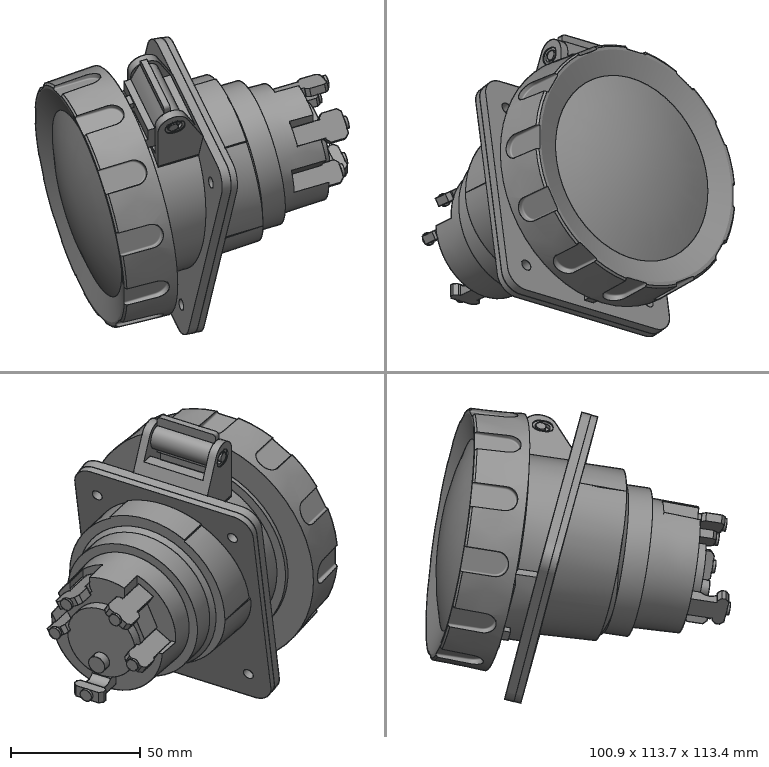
import cadquery as cq
import math


CAP_FRONT_Y = 3.4
CAP_REAR_Y = 24.8
COLLAR_REAR_Y = 26.7
DRUM_REAR_Y = 66.2
CONE_REAR_Y = 68.1
NECK_REAR_Y = 77.6
WINDOW_Y = 87.4
INSULATOR_REAR_Y = 97.3

CAP_REAR_R = 50.44
CAP_FRONT_R = 49.4
CAP_EDGE = 0.8
RIM_R = 47.2
DOME_EDGE_R = 37.7
DOME_SPHERE_R = 114.0
DOME_SAG = DOME_SPHERE_R - math.sqrt(DOME_SPHERE_R**2 - DOME_EDGE_R**2)
GRIP_COUNT = 12
GRIP_WIDTH = 9.9
GRIP_DEPTH = 1.6
GRIP_EDGE_R = 0.6
GRIP_END_Y = 21.4

COLLAR_R = 39.0
COLLAR_TOP_Z = 37.0
FRONT_BODY_R = 35.2
DRUM_R = 34.8
DRUM_BOTTOM = 29.1
DRUM_DRAFT = 2.0
CROWN_R = 35.4
NECK_R = 29.1
CONE_R = 30.8
INSULATOR_FRONT_R = 25.4
INSULATOR_REAR_R = 24.8
CORE_R = 15.2
CORE_Z = -1.6
CORE_REAR_Y = 101.5
PIN_BOSS_R = 3.6
PIN_BOSS_Z = -9.9
PIN_BOSS_REAR_Y = 105.3

FLANGE_TILT = 10.0
FLANGE_WIDTH = 80.2
FLANGE_LENGTH = 93.96
FLANGE_THICKNESS = 3.8
GASKET_THICKNESS = 2.7
GASKET_INSET = 0.1
FLANGE_CORNER_R = 8.0
FLANGE_Y = 40.1
FLANGE_Z = -4.6
HOLE_SPACING_X = 60.6
HOLE_SPACING_Z = 70.7
HOLE_D = 4.4

BRACKET_HALF_WIDTH = 16.6
EAR_THICKNESS = 3.4
BRACKET_FRONT_Y = 29.6
BRACKET_BOTTOM_Z = 31.4
BRACKET_FOOT_Y = 48.4
BRACKET_FOOT_Z = 41.6
EAR_R = 6.4
EAR_Y = BRACKET_FRONT_Y + EAR_R
EAR_Z = 52.6
PIN_R = 2.0
PIN_SLOT_LENGTH = 8.2
PIN_SLOT_WIDTH = 6.4
PIN_RECESS_DEPTH = 0.5
PIN_SLOT_RIM = 1.1
PIN_SLOT_DEPTH = 2.0
LEAF_HALF_WIDTH = 13.1
LEAF_TOP_Z = 61.54
LEAF_TIP_THICKNESS = 2.6
KNUCKLE_R = 5.0
PIN_SLOT_OFFSET = 0.7
WEB_FRONT_Y = 41.2
WEB_FLOOR_Z = 36.0
WEB_TOP_Z = 46.4
LEAF_TIP_Y = 33.4
LEAF_TIP_CORNER_R = 1.5
LEAF_PLATE_TOP_Z = 51.1
LEAF_CURVE_TOP_Z = 58.7
LEAF_CURVE_MIDDLE = (31.0, 54.4)
LEAF_STEP_Z = 45.4
LEAF_FOOT_Z = 40.4

LATCH_X0, LATCH_X1 = -6.6, -2.2
LATCH_Z0, LATCH_Z1 = 47.6, 50.1
LATCH_REAR_Y = 27.6
STOP_HEIGHT = 1.1
STOP_Z = 43.7
KEEL_Z = 41.0
KEEL_OVERLAP = 1.0

TERMINAL_TILT = 30.0
HEAD_WIDTH = 12.0
HEAD_LENGTH = 9.2
TERMINAL_THICKNESS = 3.4
STEM_WIDTH = 7.6
HEAD_CHAMFER = 1.5
PAD_R = 2.5
PAD_HEIGHT = 1.15
UPPER_X, UPPER_Z = 10.9, 17.0
SIDE_X, SIDE_Z = 18.7, -1.3
SIDE_HEAD_WIDTH = 9.2
TERMINAL_REAR_Y = 109.0
SHORT_TERMINAL_REAR_Y = 104.4
SHORT_WINDOW_Y = 82.8
WINDOW_INNER_X = 7.8
RIGHT_WINDOW_OUTER_X = 16.6
WINDOW_FLOOR_Z = 15.5
EARTH_Z = -19.4
EARTH_THICKNESS = 4.8
EARTH_REAR_Y = 112.52
EARTH_HEAD_WIDTH = 13.1
EARTH_HEAD_LENGTH = 4.6
EARTH_STEM_WIDTH = 8.2
EARTH_WAIST_LENGTH = 6.0
EARTH_GROOVE_R = 4.5
EARTH_GROOVE_LIFT = 3.0
EARTH_PAD_R = 2.5


def box(x0, x1, y0, y1, z0, z1):
    return cq.Workplane("XY").box(x1 - x0, y1 - y0, z1 - z0, centered=False).translate((x0, y0, z0))


def cylinder_y(radius, y0, y1, x=0, z=0):
    return cq.Workplane("XZ", origin=(x, y0, z)).circle(radius).extrude(y0 - y1)


def cylinder_x(radius, half_length, y, z):
    return cq.Workplane("YZ", origin=(-half_length, y, z)).circle(radius).extrude(2 * half_length)


def turned(outline):
    return outline.close().revolve(360, (0, 0), (0, 1))


def make_cap():
    """Screw cap: domed centre, dished annulus and round-ended finger grips on the rim."""
    half_r = DOME_EDGE_R / 2
    half_sag = DOME_SPHERE_R - math.sqrt(DOME_SPHERE_R**2 - half_r**2)
    cap = turned(
        cq.Workplane("XY")
        .moveTo(0, 0)
        .threePointArc((half_r, half_sag), (DOME_EDGE_R, DOME_SAG))
        .lineTo(RIM_R, CAP_FRONT_Y)
        .lineTo(CAP_FRONT_R - CAP_EDGE, CAP_FRONT_Y)
        .lineTo(CAP_FRONT_R, CAP_FRONT_Y + CAP_EDGE)
        .lineTo(CAP_REAR_R, CAP_REAR_Y)
        .lineTo(0, CAP_REAR_Y)
    )
    grip_tool = (
        cq.Workplane("XY", origin=(0, 0, CAP_FRONT_R - GRIP_DEPTH))
        .slot2D(2 * GRIP_END_Y, GRIP_WIDTH, 90)
        .extrude(2 * GRIP_DEPTH + CAP_REAR_R - CAP_FRONT_R)
        .faces("<Z")
        .edges()
        .fillet(GRIP_EDGE_R)
    )
    for i in range(GRIP_COUNT):
        cap = cap.cut(grip_tool.rotate((0, 0, 0), (0, 1, 0), i * 360 / GRIP_COUNT))
    return cap


def place_on_flange(shape):
    return shape.rotate((0, 0, 0), (1, 0, 0), -FLANGE_TILT).translate((0, FLANGE_Y, FLANGE_Z))


def flange_half_space(depth):
    """Everything more than the given depth behind the front face of the flange."""
    reach = 2 * FLANGE_LENGTH
    return place_on_flange(box(-reach, reach, depth, reach, -reach, reach))


def make_flange():
    """Rounded rectangular flange with a gasket behind it, leaning back at the top."""
    total = FLANGE_THICKNESS + GASKET_THICKNESS

    def layer(y0, y1, inset):
        half_x = FLANGE_WIDTH / 2 - inset
        half_z = FLANGE_LENGTH / 2 - inset
        return box(-half_x, half_x, y0, y1, -half_z, half_z).edges("|Y").fillet(FLANGE_CORNER_R)

    flange = layer(0, FLANGE_THICKNESS, 0).union(layer(FLANGE_THICKNESS, total, GASKET_INSET))
    for sx in (-1, 1):
        for sz in (-1, 1):
            hole = cylinder_y(HOLE_D / 2, 0, total, sx * HOLE_SPACING_X / 2, sz * HOLE_SPACING_Z / 2)
            flange = flange.cut(hole)
    return place_on_flange(flange)


def drum_prism(y0, y1):
    """Prism along Y, a half circle above the axis and a flatter drafted half ellipse below it."""
    upper_half = box(-2 * DRUM_R, 2 * DRUM_R, y0, y1, 0, DRUM_R)
    plane = cq.Workplane("XZ", origin=(0, y1, 0))
    upper = plane.circle(DRUM_R).extrude(y1 - y0).intersect(upper_half)
    lower = plane.ellipse(DRUM_R, DRUM_BOTTOM).extrude(y1 - y0, taper=-DRUM_DRAFT).cut(upper_half)
    return upper.union(lower)


def make_body():
    """Stepped body: collar, front barrel, drum flattened below, neck and insulator."""
    collar = cylinder_y(COLLAR_R, CAP_REAR_Y, COLLAR_REAR_Y)
    collar = collar.cut(box(-COLLAR_R, COLLAR_R, CAP_REAR_Y, COLLAR_REAR_Y, COLLAR_TOP_Z, COLLAR_R))
    barrel = cylinder_y(FRONT_BODY_R, CAP_REAR_Y, DRUM_REAR_Y)
    barrel = barrel.cut(flange_half_space(FLANGE_THICKNESS))

    drum = drum_prism(BRACKET_FRONT_Y, DRUM_REAR_Y).intersect(flange_half_space(FLANGE_THICKNESS))
    crown = cylinder_y(CROWN_R, BRACKET_FRONT_Y, DRUM_REAR_Y).intersect(
        box(-BRACKET_HALF_WIDTH, BRACKET_HALF_WIDTH, 0, DRUM_REAR_Y, 0, CROWN_R)
    )
    neck = turned(
        cq.Workplane("XY")
        .moveTo(0, FLANGE_Y)
        .lineTo(NECK_R, FLANGE_Y)
        .lineTo(NECK_R, NECK_REAR_Y)
        .lineTo(INSULATOR_FRONT_R, NECK_REAR_Y)
        .lineTo(INSULATOR_REAR_R, INSULATOR_REAR_Y)
        .lineTo(0, INSULATOR_REAR_Y)
    )
    cone = turned(
        cq.Workplane("XY")
        .moveTo(0, DRUM_REAR_Y)
        .lineTo(CONE_R, DRUM_REAR_Y)
        .lineTo(NECK_R, CONE_REAR_Y)
        .lineTo(0, CONE_REAR_Y)
    ).intersect(drum_prism(DRUM_REAR_Y, CONE_REAR_Y))
    core = cylinder_y(CORE_R, NECK_REAR_Y, CORE_REAR_Y, z=CORE_Z)
    boss = cylinder_y(PIN_BOSS_R, NECK_REAR_Y, PIN_BOSS_REAR_Y, z=PIN_BOSS_Z)
    body = collar
    for section in (barrel, drum, crown, neck, cone, core, boss):
        body = body.union(section)
    return body


def terminal(head_width, rear_y, foot_y):
    """Flat T-shaped lug about X = Z = 0, with a round pad on its rear end."""
    half_t = TERMINAL_THICKNESS / 2
    head = box(-head_width / 2, head_width / 2, rear_y - HEAD_LENGTH, rear_y, -half_t, half_t)
    head = head.edges("|Z").chamfer(HEAD_CHAMFER)
    stem = box(-STEM_WIDTH / 2, STEM_WIDTH / 2, foot_y, rear_y - HEAD_LENGTH / 2, -half_t, half_t)
    return head.union(stem).union(cylinder_y(PAD_R, rear_y, rear_y + PAD_HEIGHT))


def cut_windows(body):
    """Openings in the insulator rim: a wide one on the -X side and a narrow one on the +X side."""
    r = INSULATOR_FRONT_R
    depth = CORE_REAR_Y - WINDOW_Y
    plane = cq.Workplane("XZ", origin=(0, CORE_REAR_Y, 0))
    wide = [
        (-WINDOW_INNER_X, WINDOW_FLOOR_Z),
        (-UPPER_X, WINDOW_FLOOR_Z),
        (-SIDE_X, SIDE_Z),
        (-r, SIDE_Z),
        (-r, r),
        (-WINDOW_INNER_X, r),
    ]
    narrow = box(WINDOW_INNER_X, RIGHT_WINDOW_OUTER_X, WINDOW_Y, CORE_REAR_Y, WINDOW_FLOOR_Z, r)
    return body.cut(plane.polyline(wide).close().extrude(depth)).cut(narrow)


def add_terminals(body):
    places = (
        (-UPPER_X, UPPER_Z, HEAD_WIDTH, TERMINAL_REAR_Y, WINDOW_Y),
        (UPPER_X, UPPER_Z, HEAD_WIDTH, TERMINAL_REAR_Y, WINDOW_Y),
        (-SIDE_X, SIDE_Z, SIDE_HEAD_WIDTH, TERMINAL_REAR_Y, WINDOW_Y),
        (SIDE_X, SIDE_Z, SIDE_HEAD_WIDTH, SHORT_TERMINAL_REAR_Y, SHORT_WINDOW_Y),
    )
    for x, z, _, _, foot_y in places[2:]:
        tilt = math.copysign(TERMINAL_TILT, x)
        window = box(-STEM_WIDTH / 2, STEM_WIDTH / 2, foot_y, CORE_REAR_Y, 0, INSULATOR_FRONT_R)
        body = body.cut(window.rotate((0, 0, 0), (0, 1, 0), tilt).translate((x, 0, z)))
    for x, z, head_width, rear_y, foot_y in places:
        tilt = math.copysign(TERMINAL_TILT, x)
        lug = terminal(head_width, rear_y, foot_y)
        body = body.union(lug.rotate((0, 0, 0), (0, 1, 0), tilt).translate((x, 0, z)))
    return body


def make_earth_terminal():
    """Broad lug at the bottom with a narrower stem and a groove across its top."""
    half_head = EARTH_HEAD_WIDTH / 2
    bottom = EARTH_Z - EARTH_THICKNESS / 2
    top = EARTH_Z + EARTH_THICKNESS / 2
    neck_y = EARTH_REAR_Y - EARTH_HEAD_LENGTH
    head = box(-half_head, half_head, neck_y, EARTH_REAR_Y, bottom, top)
    head = head.edges("|Z").chamfer(HEAD_CHAMFER)
    groove_y = neck_y - EARTH_WAIST_LENGTH / 2
    half_stem = EARTH_STEM_WIDTH / 2
    stem = box(-half_stem, half_stem, NECK_REAR_Y, neck_y + HEAD_CHAMFER, bottom, top)
    groove = cylinder_x(EARTH_GROOVE_R, half_head, groove_y, top + EARTH_GROOVE_LIFT)
    pad = cylinder_y(EARTH_PAD_R, EARTH_REAR_Y, EARTH_REAR_Y + PAD_HEIGHT, z=EARTH_Z)
    return head.union(stem).cut(groove).union(pad)


def bracket_profile(x, thickness):
    """Ear outline in the YZ plane: sloping back, round head and straight front."""
    rise = math.hypot(BRACKET_FOOT_Y - EAR_Y, BRACKET_FOOT_Z - EAR_Z)
    slope = math.atan2(BRACKET_FOOT_Z - EAR_Z, BRACKET_FOOT_Y - EAR_Y) + math.acos(EAR_R / rise)
    tangent = (EAR_Y + EAR_R * math.cos(slope), EAR_Z + EAR_R * math.sin(slope))
    middle = (slope + math.pi) / 2
    crown = (EAR_Y + EAR_R * math.cos(middle), EAR_Z + EAR_R * math.sin(middle))
    return (
        cq.Workplane("YZ", origin=(x, 0, 0))
        .moveTo(BRACKET_FRONT_Y, BRACKET_BOTTOM_Z)
        .lineTo(BRACKET_FRONT_Y, EAR_Z)
        .threePointArc(crown, tangent)
        .lineTo(BRACKET_FOOT_Y, BRACKET_FOOT_Z)
        .lineTo(BRACKET_FOOT_Y, BRACKET_BOTTOM_Z)
        .close()
        .extrude(thickness)
    )


def make_hinge():
    """Two ears with a sloping web between them, and the cap's hinge leaf on a pin."""
    half = BRACKET_HALF_WIDTH
    inner = half - EAR_THICKNESS
    hinge = bracket_profile(-half, 2 * half)
    hinge = hinge.cut(box(-inner, inner, 0, WEB_FRONT_Y, WEB_FLOOR_Z, LEAF_TOP_Z))
    hinge = hinge.cut(box(-inner, inner, 0, BRACKET_FOOT_Y, WEB_TOP_Z, LEAF_TOP_Z))
    for side in (-1, 1):
        ear_face = cq.Workplane("YZ", origin=(side * half, EAR_Y + PIN_SLOT_OFFSET, EAR_Z))
        recess = ear_face.slot2D(PIN_SLOT_LENGTH, PIN_SLOT_WIDTH).extrude(-side * PIN_RECESS_DEPTH)
        slot = ear_face.slot2D(
            PIN_SLOT_LENGTH - 2 * PIN_SLOT_RIM, PIN_SLOT_WIDTH - 2 * PIN_SLOT_RIM
        ).extrude(-side * PIN_SLOT_DEPTH)
        hinge = hinge.cut(recess).cut(slot)
    hinge = hinge.union(cylinder_x(PIN_R, half, EAR_Y, EAR_Z))

    w = LEAF_HALF_WIDTH
    knuckle = cylinder_x(KNUCKLE_R, w, EAR_Y, EAR_Z)
    tip = box(-w, w, LEAF_TIP_Y, LEAF_TIP_Y + LEAF_TIP_THICKNESS, EAR_Z, LEAF_TOP_Z)
    tip = tip.edges("|Y and >Z").fillet(LEAF_TIP_CORNER_R)
    plate = box(-w, w, COLLAR_REAR_Y, EAR_Y, LEAF_STEP_Z, LEAF_PLATE_TOP_Z)
    foot = box(-w, w, CAP_REAR_Y, LEAF_TIP_Y, LEAF_FOOT_Z, LEAF_STEP_Z)
    notch = box(LATCH_X0, LATCH_X1, CAP_REAR_Y, COLLAR_REAR_Y, LEAF_FOOT_Z, LEAF_STEP_Z)
    curve = (
        cq.Workplane("YZ", origin=(-w, 0, 0))
        .moveTo(EAR_Y, LEAF_PLATE_TOP_Z)
        .lineTo(EAR_Y, LEAF_CURVE_TOP_Z)
        .lineTo(LEAF_TIP_Y, LEAF_CURVE_TOP_Z)
        .threePointArc(LEAF_CURVE_MIDDLE, (BRACKET_FRONT_Y, LEAF_PLATE_TOP_Z))
        .close()
        .extrude(2 * w)
    )
    leaf = knuckle.union(tip).union(curve).union(plate).union(foot).cut(notch)
    return hinge.union(leaf)


def make_rear_lugs():
    """Lugs behind the cap: a latch pair near its rim, and a keel with a stop under the barrel."""
    latch_top = box(LATCH_X0, LATCH_X1, CAP_REAR_Y, LATCH_REAR_Y, LATCH_Z0, LATCH_Z1)
    latch_bottom = latch_top.mirror("XY")
    half = BRACKET_HALF_WIDTH
    stop = box(-half, half, CAP_REAR_Y, CAP_REAR_Y + STOP_HEIGHT, -STOP_Z, -FRONT_BODY_R)
    keel = box(-half, half, CAP_REAR_Y, FLANGE_Y, -KEEL_Z, -FRONT_BODY_R + KEEL_OVERLAP)
    keel = keel.intersect(cylinder_y(KEEL_Z, CAP_REAR_Y, FLANGE_Y))
    keel = keel.cut(flange_half_space(FLANGE_THICKNESS))
    return latch_top.union(latch_bottom).union(stop).union(keel)


result = make_cap().union(make_body()).union(make_flange(), clean=False)
result = result.union(make_hinge()).union(make_rear_lugs())
result = add_terminals(cut_windows(result)).union(make_earth_terminal())